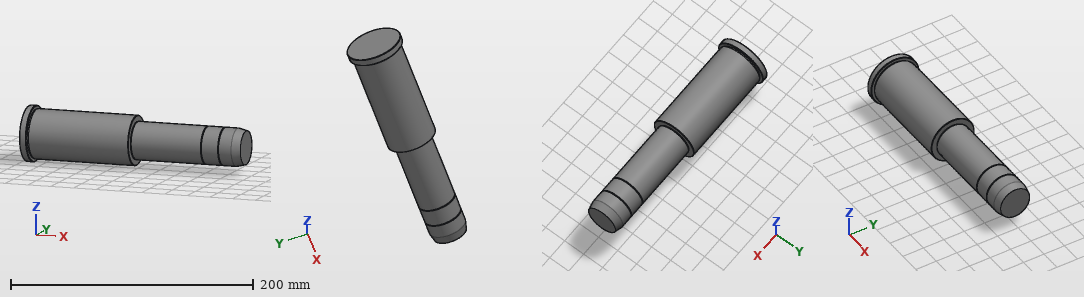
import cadquery as cq

total_length = 191.0
edge_chamfer = 0.5

head_diameter = 47.0
head_length = 6.0

body_diameter = 42.0
body_end = 95.0
neck_depth = 0.5
neck_length = 1.3

shaft_diameter = 32.0
tip_length = 7.5
tip_diameter = 28.5

groove_width = 0.8
groove_depth = 0.2
groove_starts = (body_end, 156.6, 171.7)

head_radius = head_diameter / 2
body_radius = body_diameter / 2
shaft_radius = shaft_diameter / 2
tip_radius = tip_diameter / 2


def stepped_profile():
    """Half section of the pin: X along the axis, Y as the radius."""
    return [
        (0, 0),
        (0, head_radius - edge_chamfer),
        (edge_chamfer, head_radius),
        (head_length - edge_chamfer, head_radius),
        (head_length, head_radius - edge_chamfer),
        (head_length, body_radius - neck_depth),
        (head_length + neck_length, body_radius),
        (body_end - edge_chamfer, body_radius),
        (body_end, body_radius - edge_chamfer),
        (body_end, shaft_radius),
        (total_length - tip_length, shaft_radius),
        (total_length, tip_radius),
        (total_length, 0),
    ]


def groove_ring(start):
    """Ring of material removed by one shaft groove."""
    return (
        cq.Workplane("YZ", origin=(start, 0, 0))
        .circle(shaft_radius)
        .circle(shaft_radius - groove_depth)
        .extrude(groove_width)
    )


result = cq.Workplane("XY").polyline(stepped_profile()).close().revolve(360, (0, 0, 0), (1, 0, 0))
for groove_start in groove_starts:
    result = result.cut(groove_ring(groove_start))